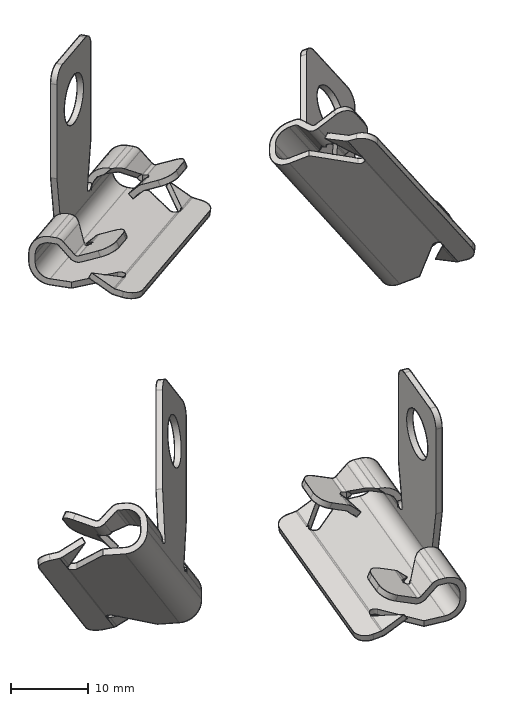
import cadquery as cq
import math

SHEET = 0.9
HALF_SHEET = SHEET / 2
OVERALL_X = 15.11
OVERALL_Z = 27.24
HALF_WIDTH = 14.25
INNER_RADIUS = 0.5
BEND_RADIUS = INNER_RADIUS + HALF_SHEET
CORNER_RADIUS = 2.0

CHANNEL_HEIGHT = 6.98
CHANNEL_RADIUS = 2.95
CURVE_RADIUS = CHANNEL_RADIUS - HALF_SHEET
MID_HEIGHT = CHANNEL_HEIGHT / 2
BACK_HALF = MID_HEIGHT - CHANNEL_RADIUS
UPPER_CURVE_Z = CHANNEL_HEIGHT - CHANNEL_RADIUS
ROOF_LENGTH = 0.85
RAMP_ANGLE = 45.0
RAMP_LENGTH = 2.22
WING_ANGLE = 24.0
WING_LENGTH = 4.93
WING_INNER_Y = 7.75
FLOOR_RISE = 0.9
FLOOR_END_X = 11.63
LIP_ANGLE = 8.0

TOOTH_BEND = 21.0
WING_TOOTH_LENGTH = 1.88
WING_TOOTH_OFFSET = 0.4
WING_TOOTH_BASE_Y = 10.1
LIP_TOOTH_LENGTH = 3.5
LIP_TOOTH_OFFSET = 0.13
LIP_TOOTH_BASE_Y = 10.6

CURVE_EDGE_START_Y = 6.4
CURVE_EDGE_END_Y = 7.2
CURVE_EDGE_END_X = 3.42
WING_SLOT_X = 6.82
WING_SLOT_Y = 10.55
WING_SLOT_RADIUS = 0.4
FLOOR_EDGE_X = 5.95
FLOOR_SLOT_RADIUS = 0.75
FLOOR_SLOT_X = 11.1

TAB_WIDTH = 12.5
TAB_TAPER_Z = 11.31
HOLE_DIAMETER = 7.0
HOLE_FROM_TOP = 7.0
NOTCH_RADIUS = 0.75
NOTCH_Y = 5.73

CLEAR = 20.0
DIAGONAL = math.sqrt(0.5)


def direction(angle):
    """Unit X-Z vector at an angle in degrees above +X."""
    return math.cos(math.radians(angle)), math.sin(math.radians(angle))


def offset_point(station, along, across):
    """X-Z point reached from a station by moving forward and to the left."""
    x, z, heading = station
    dx, dz = direction(heading)
    return x + along * dx - across * dz, z + along * dz + across * dx


def straight(station, length):
    return (*offset_point(station, length, 0), station[2])


def bend(station, radius, angle):
    """Follow an arc; a positive angle turns left, a negative one turns right."""
    side = math.copysign(radius, angle)
    heading = station[2] + angle
    center = offset_point(station, 0, side)
    return (*offset_point((*center, heading), 0, -side), heading)


def follow(start, steps):
    """Stations along a mid-sheet path; a step is (length,) or (radius, angle)."""
    stations = [start]
    for step in steps:
        move = straight if len(step) == 1 else bend
        stations.append(move(stations[-1], *step))
    return stations


def bent_sheet(start, steps, y_from, y_to):
    """Sheet along a mid-sheet path in X-Z, spanning y_from to y_to."""
    stations = follow(start, steps)
    outline = cq.Workplane("XZ", origin=(0, y_from, 0))
    outline = outline.moveTo(*offset_point(start, 0, HALF_SHEET))

    def add_side(sketch, station, step, end, across):
        target = offset_point(end, 0, across)
        if len(step) == 1:
            return sketch.lineTo(*target)
        middle = bend(station, step[0], step[1] / 2)
        return sketch.threePointArc(offset_point(middle, 0, across), target)

    pieces = list(zip(stations, steps, stations[1:]))
    for station, step, end in pieces:
        outline = add_side(outline, station, step, end, HALF_SHEET)
    outline = outline.lineTo(*offset_point(stations[-1], 0, -HALF_SHEET))
    for station, step, _ in reversed(pieces):
        outline = add_side(outline, station, step, station, -HALF_SHEET)
    return outline.close().extrude(y_from - y_to)


def sheet_plane(x, z, heading):
    """Workplane on a tilted sheet: local x runs along the heading, local y along +Y."""
    dx, dz = direction(heading)
    return cq.Workplane(cq.Plane(origin=(x, 0, z), xDir=(dx, 0, dz), normal=(-dz, 0, dx)))


BACK_MIDDLE = (HALF_SHEET, MID_HEIGHT)
upper_steps = [
    (BACK_HALF,),
    (CURVE_RADIUS, -90.0),
    (ROOF_LENGTH,),
    (BEND_RADIUS, -RAMP_ANGLE),
    (RAMP_LENGTH,),
    (BEND_RADIUS, RAMP_ANGLE + WING_ANGLE),
    (WING_TOOTH_OFFSET,),
]
upper_stations = follow((*BACK_MIDDLE, 90.0), upper_steps)
ramp_start = upper_stations[4]
wing_start = upper_stations[-1]

lower_curve_steps = [(BACK_HALF,), (CURVE_RADIUS, 90.0 + FLOOR_RISE)]
floor_start = follow((*BACK_MIDDLE, -90.0), lower_curve_steps)[-1]
floor_length = (FLOOR_END_X - floor_start[0]) / direction(FLOOR_RISE)[0]
floor_steps = lower_curve_steps + [(floor_length,), (BEND_RADIUS, -FLOOR_RISE - LIP_ANGLE)]
lip_start = follow((*BACK_MIDDLE, -90.0), floor_steps)[-1]
lip_cos, lip_sin = direction(LIP_ANGLE)
lip_length = (OVERALL_X - HALF_SHEET * lip_sin - lip_start[0]) / lip_cos
lip_end = straight(lip_start, lip_length)
TAB_TOP_Z = offset_point(lip_end, 0, -HALF_SHEET)[1] + OVERALL_Z


def make_upper_channel():
    """Upper curve, roof and ramp on the +Y side, trimmed along the freed edge."""
    body = bent_sheet((*BACK_MIDDLE, 90.0), upper_steps, 0, HALF_WIDTH)
    curve_run = (CURVE_EDGE_END_X + CHANNEL_RADIUS) * DIAGONAL
    curve_cut = (
        sheet_plane(0, UPPER_CURVE_Z, 45.0)
        .polyline([
            (-CLEAR, 0),
            (-CLEAR, CURVE_EDGE_START_Y),
            (0, CURVE_EDGE_START_Y),
            (curve_run, CURVE_EDGE_END_Y),
            (CLEAR, CURVE_EDGE_END_Y),
            (CLEAR, 0),
        ])
        .close()
        .extrude(CLEAR, both=True)
    )
    edge_offset = CURVE_EDGE_END_X - ramp_start[0]
    edge_drop = CHANNEL_HEIGHT - ramp_start[1]
    edge_start = (edge_offset - edge_drop) * DIAGONAL
    edge_run = WING_SLOT_Y - CURVE_EDGE_END_Y
    ramp_cut = (
        sheet_plane(ramp_start[0], ramp_start[1], -RAMP_ANGLE)
        .polyline([
            (edge_start, 0),
            (edge_start, CURVE_EDGE_END_Y),
            (edge_start + edge_run, WING_SLOT_Y),
            (CLEAR, WING_SLOT_Y),
            (CLEAR, 0),
        ])
        .close()
        .extrude(2 * SHEET, both=True)
    )
    return body.cut(curve_cut).cut(ramp_cut)


def make_wing():
    """Flared wing with two rounded outer corners."""
    mid_y = (WING_INNER_Y + HALF_WIDTH) / 2
    length = WING_LENGTH - WING_TOOTH_OFFSET
    return (
        sheet_plane(*wing_start)
        .center(length / 2, mid_y)
        .rect(length, HALF_WIDTH - WING_INNER_Y)
        .extrude(HALF_SHEET, both=True)
        .edges(cq.selectors.ParallelDirSelector(sheet_plane(*wing_start).plane.zDir))
        .edges(">X")
        .fillet(CORNER_RADIUS)
    )


def make_tooth(root, turn, length, y_tip, y_base):
    """Triangular tooth bent back from a root station, pointed at y_tip."""
    steps = [(BEND_RADIUS, turn), (length,)]
    start = (root[0], root[1], root[2] + 180.0)
    tip = follow(start, steps)[-1]
    slant = abs(y_base - y_tip)
    inward = math.copysign(1, y_base - y_tip)
    body = bent_sheet(start, steps, min(y_tip, y_base), max(y_tip, y_base))
    slant_cut = (
        sheet_plane(tip[0], tip[1], tip[2] - 180.0)
        .polyline([
            (0, y_tip),
            (slant, y_tip + inward * slant),
            (slant, y_tip + inward * CLEAR),
            (-slant, y_tip + inward * CLEAR),
            (-slant, y_tip),
        ])
        .close()
        .extrude(SHEET, both=True)
    )
    return body.cut(slant_cut)


def make_floor():
    """Lower curve and floor on the +Y side, freed from the lip tooth by a 45 degree slot."""
    body = bent_sheet((*BACK_MIDDLE, -90.0), floor_steps, 0, HALF_WIDTH)
    side = FLOOR_SLOT_RADIUS * DIAGONAL
    edge_x = FLOOR_SLOT_X - side
    edge_y = HALF_WIDTH - (edge_x - FLOOR_EDGE_X)
    slot_y = edge_y + side
    slot = (
        cq.Workplane("XY")
        .moveTo(FLOOR_EDGE_X, HALF_WIDTH)
        .lineTo(edge_x, edge_y)
        .threePointArc((FLOOR_SLOT_X + side, slot_y - side), (FLOOR_SLOT_X + side, slot_y + side))
        .lineTo(lip_start[0], slot_y + side)
        .lineTo(lip_start[0], HALF_WIDTH)
        .close()
        .extrude(MID_HEIGHT, both=True)
    )
    return body.cut(slot)


def make_lip():
    """Full-width lip with rounded outer corners."""
    return (
        sheet_plane(*lip_start)
        .center(lip_length / 2, 0)
        .rect(lip_length, 2 * HALF_WIDTH)
        .extrude(HALF_SHEET, both=True)
        .edges(cq.selectors.ParallelDirSelector(sheet_plane(*lip_start).plane.zDir))
        .edges(">X")
        .fillet(CORNER_RADIUS)
    )


def make_tab():
    """+Y half of the upright tab, with its rounded notch, taper and hole."""
    notch_z = UPPER_CURVE_Z + NOTCH_RADIUS
    half_tab = TAB_WIDTH / 2
    blank = (
        cq.Workplane("YZ")
        .moveTo(0, MID_HEIGHT)
        .lineTo(NOTCH_Y + NOTCH_RADIUS, MID_HEIGHT)
        .lineTo(NOTCH_Y + NOTCH_RADIUS, notch_z)
        .threePointArc((NOTCH_Y, UPPER_CURVE_Z), (NOTCH_Y - NOTCH_RADIUS, notch_z))
        .lineTo(half_tab, TAB_TAPER_Z)
        .lineTo(half_tab, TAB_TOP_Z - CORNER_RADIUS)
        .radiusArc((half_tab - CORNER_RADIUS, TAB_TOP_Z), -CORNER_RADIUS)
        .lineTo(0, TAB_TOP_Z)
        .close()
        .extrude(SHEET)
    )
    hole = (
        cq.Workplane("YZ")
        .center(0, TAB_TOP_Z - HOLE_FROM_TOP)
        .circle(HOLE_DIAMETER / 2)
        .extrude(SHEET)
    )
    return blank.cut(hole)


def make_wing_slot_end():
    """Cutter that rounds the closed end of the slot beside the wing tooth."""
    return (
        cq.Workplane("XY", origin=(0, 0, MID_HEIGHT))
        .center(WING_SLOT_X, WING_SLOT_Y)
        .circle(WING_SLOT_RADIUS)
        .extrude(MID_HEIGHT)
    )


wing_tooth = make_tooth(wing_start, TOOTH_BEND, WING_TOOTH_LENGTH, WING_INNER_Y, WING_TOOTH_BASE_Y)
lip_tooth_root = straight(lip_start, LIP_TOOTH_OFFSET)
lip_tooth = make_tooth(lip_tooth_root, -TOOTH_BEND, LIP_TOOTH_LENGTH, HALF_WIDTH, LIP_TOOTH_BASE_Y)

half = make_upper_channel().union(make_wing()).union(wing_tooth).cut(make_wing_slot_end())
half = half.union(make_floor()).union(lip_tooth).union(make_tab())
result = half.union(half.mirror("XZ")).union(make_lip()).solids()